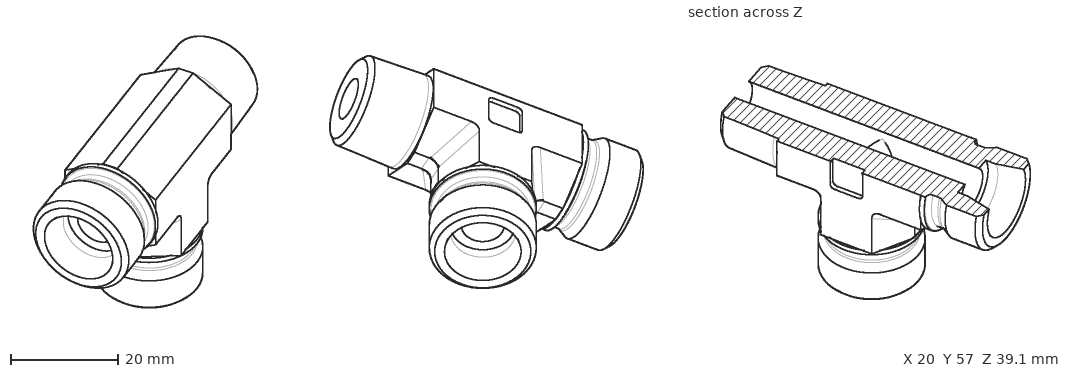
import cadquery as cq
import math

port_reach = 29.0
taper_reach = 28.0
taper_shoulder = 15.0

hex_across_flats = 19.0
hex_across_corners = 20.2
inner_corner_radius = 2.0

thread_dia = 20.0
neck_dia = 17.7
end_chamfer = 1.0
thread_length = 7.45
collar_start = 11.95
collar_width = 1.0
runout_angle = math.radians(30)
runout_fillet = 1.0
collar_fillet = 0.85
port_length = collar_start + collar_width
port_shoulder = port_reach - port_length

bore_dia = 8.0
tube_dia = 12.0
mouth_dia = 14.3
mouth_half_angle = math.radians(12)
tube_stop_depth = 7.4

taper_dia = 18.5
taper_plain_length = 1.0
taper_ratio = 1 / 16

recess_size = 7.0
recess_corner = 1.0
recess_depth = 1.0


def hexagon():
    """Hexagon with flats facing +X and -X and its top and bottom corners cut off."""
    half_flats = hex_across_flats / 2
    half_height = hex_across_corners / 2
    side_corner = half_flats / math.sqrt(3)
    half_top = (2 * side_corner - half_height) * math.sqrt(3)
    half_outline = [
        (half_top, half_height),
        (half_flats, side_corner),
        (half_flats, -side_corner),
        (half_top, -half_height),
    ]
    opposite_half = [(-x, -z) for x, z in half_outline]
    return half_outline + opposite_half


def to_branch(shape):
    """Turn a shape lying along -Y so that it lies along -Z."""
    return shape.rotate((0, 0, 0), (1, 0, 0), 90)


def hex_bar(y_start, y_end):
    """Hexagonal bar along Y."""
    plane = cq.Workplane("XZ", origin=(0, y_end, 0))
    return plane.polyline(hexagon()).close().extrude(y_end - y_start)


def revolve_about_y(outline):
    return outline.close().revolve(360, (0, 0, 0), (0, 1, 0))


def body():
    """Run and branch bars joined in a tee, with both inner corners rounded."""
    run = hex_bar(-port_shoulder, taper_shoulder)
    branch = to_branch(hex_bar(-port_shoulder, 0))
    tee = run.union(branch).clean()
    margin = 0.05
    near = margin
    far = hex_across_corners / 2 + margin
    for side in (-1, 1):
        inner_corner = cq.selectors.BoxSelector(
            (-hex_across_flats, side * near, -near),
            (hex_across_flats, side * far, -far),
            boundingbox=True,
        )
        tee = tee.edges(inner_corner).fillet(inner_corner_radius)
    return tee


def port_outside():
    """Solid tube port along -Y: collar, undercut neck, thread cylinder and chamfer."""
    face = -port_reach
    thread_r = thread_dia / 2
    neck_r = neck_dia / 2
    blend_rise = runout_fillet * (1 - math.cos(runout_angle))
    blend_run = runout_fillet * math.sin(runout_angle)
    cone_end_r = neck_r + blend_rise
    cone_end = face + thread_length + (thread_r - cone_end_r) / math.tan(runout_angle)
    neck_start = cone_end + blend_run
    collar = face + collar_start
    half_angle = runout_angle / 2
    blend_mid = (
        neck_r + runout_fillet * (1 - math.cos(half_angle)),
        neck_start - runout_fillet * math.sin(half_angle),
    )
    diagonal = collar_fillet * math.sqrt(0.5)
    collar_mid = (neck_r + collar_fillet - diagonal, collar - collar_fillet + diagonal)
    outline = (
        cq.Workplane("XY")
        .moveTo(0, face)
        .lineTo(thread_r - end_chamfer, face)
        .lineTo(thread_r, face + end_chamfer)
        .lineTo(thread_r, face + thread_length)
        .lineTo(cone_end_r, cone_end)
        .threePointArc(blend_mid, (neck_r, neck_start))
        .lineTo(neck_r, collar - collar_fillet)
        .threePointArc(collar_mid, (neck_r + collar_fillet, collar))
        .lineTo(thread_r, collar)
        .lineTo(thread_r, -port_shoulder)
        .lineTo(0, -port_shoulder)
    )
    return revolve_about_y(outline)


def port_inside():
    """Hollow of a tube port: conical mouth, tube socket and bore up to the crossing."""
    face = -port_reach
    cone_depth = (mouth_dia - tube_dia) / 2 / math.tan(mouth_half_angle)
    outline = (
        cq.Workplane("XY")
        .moveTo(0, face)
        .lineTo(mouth_dia / 2, face)
        .lineTo(tube_dia / 2, face + cone_depth)
        .lineTo(tube_dia / 2, face + tube_stop_depth)
        .lineTo(bore_dia / 2, face + tube_stop_depth)
        .lineTo(bore_dia / 2, 0)
        .lineTo(0, 0)
    )
    return revolve_about_y(outline)


def tapered_thread():
    """Solid tapered thread along +Y with a plain ring at its root."""
    taper_start = taper_shoulder + taper_plain_length
    taper_end = taper_reach - end_chamfer
    large_r = taper_dia / 2
    small_r = large_r - (taper_end - taper_start) * taper_ratio / 2
    outline = (
        cq.Workplane("XY")
        .moveTo(0, taper_shoulder)
        .lineTo(large_r, taper_shoulder)
        .lineTo(large_r, taper_start)
        .lineTo(small_r, taper_end)
        .lineTo(small_r - end_chamfer, taper_reach)
        .lineTo(0, taper_reach)
    )
    return revolve_about_y(outline)


def taper_bore():
    return cq.Workplane("XZ").circle(bore_dia / 2).extrude(-taper_reach)


def side_recess():
    floor = recess_depth - hex_across_flats / 2
    plane = cq.Workplane("YZ", origin=(floor, 0, 0))
    block = plane.rect(recess_size, recess_size).extrude(-recess_depth)
    return block.edges("|X").fillet(recess_corner)


outside = body().union(port_outside()).union(to_branch(port_outside())).union(tapered_thread())
hollow = port_inside().union(to_branch(port_inside())).union(taper_bore())
result = outside.cut(hollow).cut(side_recess())